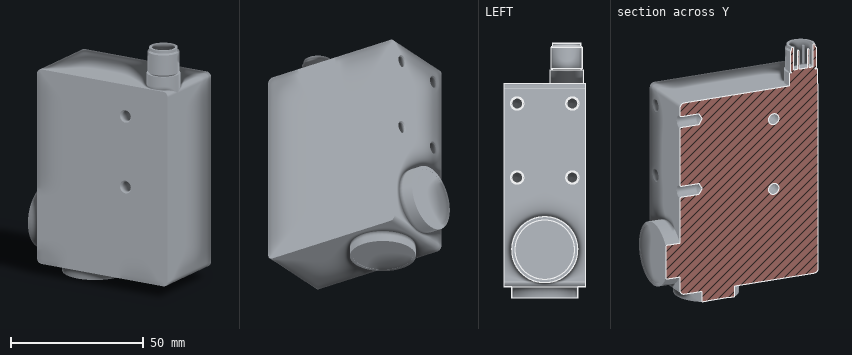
import cadquery as cq
import math


overall_height = 96.5
full_turn = 360

housing_length = 58.3
housing_width = 31.0
housing_height = 77.0
corner_radius = 1.9

lens_diameter = 25.0
lens_rim = 1.3
lens_recess = 0.1
lens_root = 2.9
side_lens_projection = 6.0
side_lens_height = 14.1
bottom_lens_projection = 4.2
bottom_lens_x = 16.2

hole_diameter = 4.15
hole_mouth_diameter = 5.0
hole_depth = 8.0
hole_rows = 2
hole_spacing_z = 28.0
hole_spacing_y = 20.85
hole_point_angle = 118
side_hole_top_drop = 7.6
front_hole_top_drop = 12.45
front_hole_x = 39.5

collar_diameter = 12.7
thread_diameter = 12.0
neck_diameter = 10.8
collar_root = corner_radius
collar_height = 5.1
thread_top = 13.6
thread_bevel = 0.6
connector_height = overall_height - housing_height - bottom_lens_projection
connector_x = housing_length - collar_diameter / 2
connector_y = -8.3
socket_diameter = 9.0
socket_depth = 9.2
pin_diameter = 0.9
pin_spacing = 4.15
pin_drop = 1.6
key_width = 1.2
key_rise = 0.4


def make_housing():
    block = cq.Workplane("XY").box(
        housing_length, housing_width, housing_height, centered=(False, True, False)
    )
    return block.edges("|Y").fillet(corner_radius)


def make_lens(face_center, outward, projection):
    """Round barrel ending at face_center, with a shallow glass recess inside its rim."""
    face = cq.Workplane(cq.Plane(origin=face_center, normal=outward))
    barrel = face.circle(lens_diameter / 2).extrude(-(projection + lens_root))
    glass = face.circle(lens_diameter / 2 - lens_rim).extrude(-lens_recess)
    return barrel.cut(glass)


def make_hole(mouth_center, inward):
    """Cutter for one mounting hole, revolved about its axis and turned to point inward."""
    radius = hole_diameter / 2
    mouth_radius = hole_mouth_diameter / 2
    point_length = radius / math.tan(math.radians(hole_point_angle / 2))
    axis = cq.Vector(*inward)
    up = cq.Vector(0, 0, 1)
    profile_plane = cq.Plane(origin=mouth_center, xDir=up, normal=up.cross(axis))
    return (
        cq.Workplane(profile_plane)
        .polyline(
            [
                (0, 0),
                (mouth_radius, 0),
                (radius, mouth_radius - radius),
                (radius, hole_depth),
                (0, hole_depth + point_length),
            ]
        )
        .close()
        .revolve(full_turn, (0, 0), (0, 1))
    )


def make_connector():
    """Stepped plug with an open socket, four contact pins and a coding key."""
    collar_radius = collar_diameter / 2
    thread_radius = thread_diameter / 2
    neck_radius = neck_diameter / 2
    shell = (
        cq.Workplane("XZ")
        .polyline(
            [
                (0, -collar_root),
                (collar_radius, -collar_root),
                (collar_radius, collar_height),
                (thread_radius - thread_bevel, collar_height),
                (thread_radius, collar_height + thread_bevel),
                (thread_radius, thread_top),
                (neck_radius, thread_top + thread_bevel),
                (neck_radius, connector_height),
                (0, connector_height),
            ]
        )
        .close()
        .revolve(full_turn, (0, 0), (0, 1))
    )
    socket_floor = connector_height - socket_depth
    floor = cq.Workplane("XY").workplane(offset=socket_floor)
    socket = floor.circle(socket_diameter / 2).extrude(socket_depth)
    pins = (
        floor.rect(pin_spacing, pin_spacing, forConstruction=True)
        .vertices()
        .circle(pin_diameter / 2)
        .extrude(socket_depth - pin_drop)
    )
    key = (
        floor.center(0, -socket_diameter / 2)
        .rect(key_width, 2 * key_rise)
        .extrude(socket_depth - pin_drop)
    )
    plug = shell.cut(socket).union(pins).union(key)
    return plug.translate((connector_x, connector_y, housing_height))


result = make_housing()

result = result.union(
    make_lens((-side_lens_projection, 0, side_lens_height), (-1, 0, 0), side_lens_projection)
)
result = result.union(
    make_lens((bottom_lens_x, 0, -bottom_lens_projection), (0, 0, -1), bottom_lens_projection)
)
result = result.union(make_connector())

for row in range(hole_rows):
    row_drop = row * hole_spacing_z
    side_hole_z = housing_height - side_hole_top_drop - row_drop
    front_hole_z = housing_height - front_hole_top_drop - row_drop
    for side in (-1, 1):
        result = result.cut(make_hole((0, side * hole_spacing_y / 2, side_hole_z), (1, 0, 0)))
    result = result.cut(make_hole((front_hole_x, -housing_width / 2, front_hole_z), (0, 1, 0)))